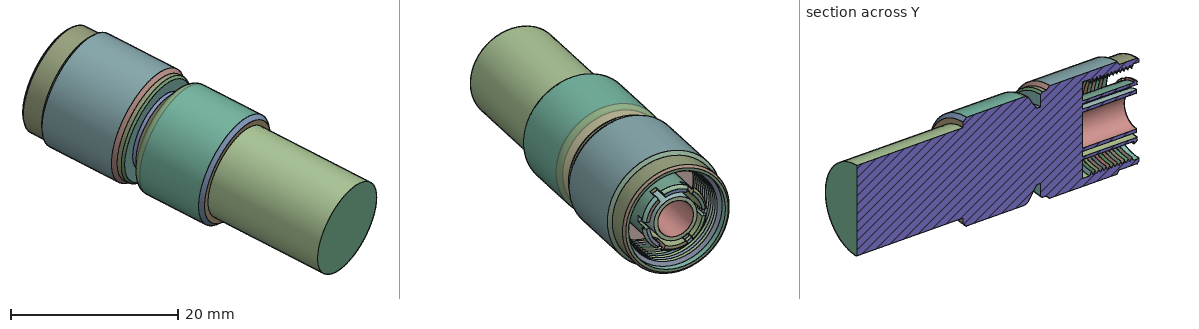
import cadquery as cq
import math

LENGTH = 42.7

NUT_RADIUS = 7.65
LIP_RADIUS = 7.18
LIP_CHAMFER = 0.3
NUT_START = 3.0
NUT_FRONT_CHAMFER = 0.4
NUT_BACK_CHAMFER_START = 13.55
NUT_STEP_X = 14.05
NUT_END = 14.95

NECK_RADIUS = 5.2
CONE_START = 15.45
BODY_RADIUS = 7.4
CONE_CORNER_X = 16.95
CONE_BLEND_TANGENT = 0.55
BODY_END = 26.65
BODY_CHAMFER = 0.5

SLEEVE_RADIUS = 6.15

THREAD_ROOT_RADIUS = 6.5
THREAD_CREST_RADIUS = 6.0
THREAD_START = 0.85
THREAD_PITCH = 0.55
THREAD_RIDGES = 12
SOCKET_DEPTH = 8.55

FINGER_FRONT = 0.3
FINGER_INNER_RADIUS = 3.55
FINGER_ROOT_RADIUS = 4.0
FINGER_BEAD_RADIUS = 4.3
NOSE_RADIUS = 3.97
BEAD_LENGTH = 0.5
SLOT_COUNT = 6
SLOT_WIDTH = 0.85
SLOT_DEPTH = 2.15

TUBE_FRONT = 0.4
TUBE_OUTER_RADIUS = 2.9
TUBE_INNER_RADIUS = 2.4


def revolve_about_x(profile):
    """Turn a closed (X, radius) profile around the X axis."""
    return profile.close().revolve(360, (0, 0, 0), (1, 0, 0))


def outer_body():
    """Solid outside shape, with the blended cone drawn as a tangent arc."""
    cone_angle = math.atan2(BODY_RADIUS - NECK_RADIUS, CONE_CORNER_X - CONE_START)
    blend_start = (
        CONE_CORNER_X - CONE_BLEND_TANGENT * math.cos(cone_angle),
        BODY_RADIUS - CONE_BLEND_TANGENT * math.sin(cone_angle),
    )
    blend_end = (CONE_CORNER_X + CONE_BLEND_TANGENT, BODY_RADIUS)
    profile = (
        cq.Workplane("XY")
        .lineTo(0, LIP_RADIUS - LIP_CHAMFER)
        .lineTo(LIP_CHAMFER, LIP_RADIUS)
        .lineTo(NUT_START, LIP_RADIUS)
        .lineTo(NUT_START + NUT_FRONT_CHAMFER, NUT_RADIUS)
        .lineTo(NUT_BACK_CHAMFER_START, NUT_RADIUS)
        .lineTo(NUT_STEP_X, LIP_RADIUS)
        .lineTo(NUT_END - LIP_CHAMFER, LIP_RADIUS)
        .lineTo(NUT_END, LIP_RADIUS - LIP_CHAMFER)
        .lineTo(NUT_END, NECK_RADIUS)
        .lineTo(CONE_START, NECK_RADIUS)
        .lineTo(*blend_start)
        .tangentArcPoint(blend_end, relative=False)
        .lineTo(BODY_END - BODY_CHAMFER, BODY_RADIUS)
        .lineTo(BODY_END, BODY_RADIUS - BODY_CHAMFER)
        .lineTo(BODY_END, SLEEVE_RADIUS)
        .lineTo(LENGTH, SLEEVE_RADIUS)
        .lineTo(LENGTH, 0)
    )
    return revolve_about_x(profile)


def threaded_socket():
    """Cavity of the nut: plain mouth, then a row of ring-shaped V ridges as the thread."""
    profile = cq.Workplane("XY").lineTo(0, THREAD_ROOT_RADIUS).lineTo(THREAD_START, THREAD_ROOT_RADIUS)
    for index in range(THREAD_RIDGES):
        ridge_start = THREAD_START + index * THREAD_PITCH
        profile = (
            profile.lineTo(ridge_start + THREAD_PITCH / 2, THREAD_CREST_RADIUS)
            .lineTo(ridge_start + THREAD_PITCH, THREAD_ROOT_RADIUS)
        )
    profile = profile.lineTo(SOCKET_DEPTH, THREAD_ROOT_RADIUS).lineTo(SOCKET_DEPTH, 0)
    return revolve_about_x(profile)


def spring_fingers():
    """Beaded ring split into fingers by radial slots."""
    bead_end = FINGER_FRONT + BEAD_LENGTH
    bead_rise = FINGER_BEAD_RADIUS - NOSE_RADIUS
    nose_arc_radius = (BEAD_LENGTH**2 + bead_rise**2) / (2 * bead_rise)
    profile = (
        cq.Workplane("XY")
        .moveTo(FINGER_FRONT, FINGER_INNER_RADIUS)
        .lineTo(FINGER_FRONT, NOSE_RADIUS)
        .radiusArc((bead_end, FINGER_BEAD_RADIUS), nose_arc_radius)
        .lineTo(bead_end, FINGER_ROOT_RADIUS)
        .lineTo(SOCKET_DEPTH, FINGER_ROOT_RADIUS)
        .lineTo(SOCKET_DEPTH, FINGER_INNER_RADIUS)
    )
    fingers = revolve_about_x(profile)
    slot_start_radius = (TUBE_OUTER_RADIUS + FINGER_INNER_RADIUS) / 2
    slot = (
        cq.Workplane("XY")
        .box(SLOT_DEPTH, FINGER_BEAD_RADIUS, SLOT_WIDTH, centered=(False, False, True))
        .translate((FINGER_FRONT, slot_start_radius, 0))
    )
    for index in range(SLOT_COUNT):
        angle = index * 360 / SLOT_COUNT
        fingers = fingers.cut(slot.rotate((0, 0, 0), (1, 0, 0), angle))
    return fingers


def insulator_tube():
    """Plain tube on the axis, closed at the socket floor."""
    return (
        cq.Workplane("YZ", origin=(TUBE_FRONT, 0, 0))
        .circle(TUBE_OUTER_RADIUS)
        .circle(TUBE_INNER_RADIUS)
        .extrude(SOCKET_DEPTH - TUBE_FRONT)
    )


result = outer_body().cut(threaded_socket()).union(spring_fingers()).union(insulator_tube())